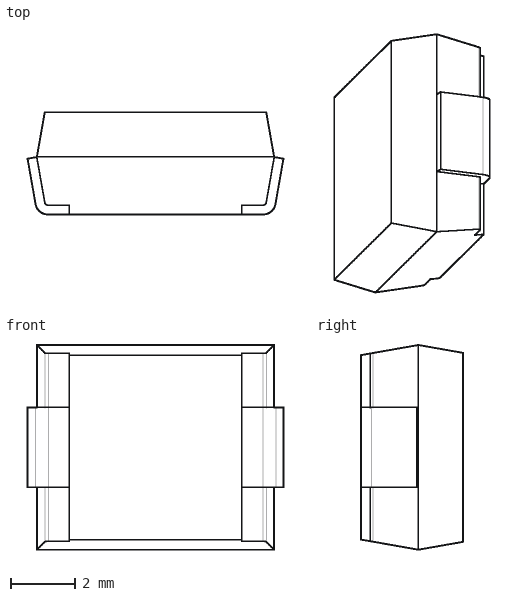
import cadquery as cq
import math

LENGTH = 8.0
DEPTH = 3.2
HEIGHT = 6.4

DRAFT = 10.0
FRONT_DEPTH = 1.8
PAD_WIDTH = 5.38

LEAD_THICKNESS = 0.3
LEAD_HEIGHT = 2.5
INNER_BEND_RADIUS = 0.1

SELECT_MARGIN = 0.01

draft_angle = math.radians(DRAFT)
front_y = -DEPTH / 2
back_depth = DEPTH - FRONT_DEPTH
parting_y = front_y + FRONT_DEPTH
seat_y = front_y + LEAD_THICKNESS
lead_end_offset_x = LEAD_THICKNESS * math.cos(draft_angle)
lead_end_offset_y = LEAD_THICKNESS * math.sin(draft_angle)
housing_width = LENGTH - 2 * lead_end_offset_x
pad_edge_x = PAD_WIDTH / 2
outer_bend_radius = INNER_BEND_RADIUS + LEAD_THICKNESS


def make_drafted_half(depth):
    """Block narrowing from the parting line; positive depth goes to the front (-Y)."""
    return (
        cq.Workplane("XZ", origin=(0, parting_y, 0))
        .rect(housing_width, HEIGHT)
        .extrude(depth, taper=DRAFT)
    )


def make_lead_seat(side):
    """Full-height cutter for the step beside the front pad; side is -1 or +1 in X."""
    seat_width = LENGTH / 2 - pad_edge_x
    return cq.Workplane("XY").box(seat_width, LEAD_THICKNESS, HEIGHT).translate(
        (side * (pad_edge_x + seat_width / 2), front_y + LEAD_THICKNESS / 2, 0)
    )


def make_housing():
    """Body drafted both ways from the parting line, with rounded corners at the lead seats."""
    housing = make_drafted_half(FRONT_DEPTH).union(make_drafted_half(-back_depth))
    for side in (-1, 1):
        housing = housing.cut(make_lead_seat(side))
    for outermost in ("<X", ">X"):
        seat_face = housing.faces(cq.selectors.BoxSelector(
            (-LENGTH, seat_y - SELECT_MARGIN, -HEIGHT), (LENGTH, seat_y + SELECT_MARGIN, HEIGHT)
        ))
        housing = seat_face.edges("|Z").edges(outermost).fillet(INNER_BEND_RADIUS)
    return housing


def make_lead():
    """Lead on the -X side, bent around the housing wall onto its front seat."""
    wall_x = -housing_width / 2
    end_x = -LENGTH / 2
    end_y = parting_y - lead_end_offset_y
    inner_corner_x = wall_x + (parting_y - seat_y) * math.tan(draft_angle)
    outer_corner_x = end_x + (end_y - front_y) * math.tan(draft_angle)
    lead = (
        cq.Workplane("XY", origin=(0, 0, -LEAD_HEIGHT / 2))
        .moveTo(wall_x, parting_y)
        .lineTo(end_x, end_y)
        .lineTo(outer_corner_x, front_y)
        .lineTo(-pad_edge_x, front_y)
        .lineTo(-pad_edge_x, seat_y)
        .lineTo(inner_corner_x, seat_y)
        .close()
        .extrude(LEAD_HEIGHT)
    )
    inner_corner = cq.selectors.NearestToPointSelector((inner_corner_x, seat_y, 0))
    outer_corner = cq.selectors.NearestToPointSelector((outer_corner_x, front_y, 0))
    lead = lead.edges("|Z").edges(inner_corner).fillet(INNER_BEND_RADIUS)
    return lead.edges("|Z").edges(outer_corner).fillet(outer_bend_radius)


def make_leads():
    """One lead at each end of the housing, mirrored about the YZ plane."""
    leads = []
    for is_right in (False, True):
        lead = make_lead()
        if is_right:
            lead = lead.mirror("YZ")
        leads.append(lead.val())
    return leads


housing = make_housing()
leads = make_leads()

result = cq.Compound.makeCompound([housing.val(), *leads])